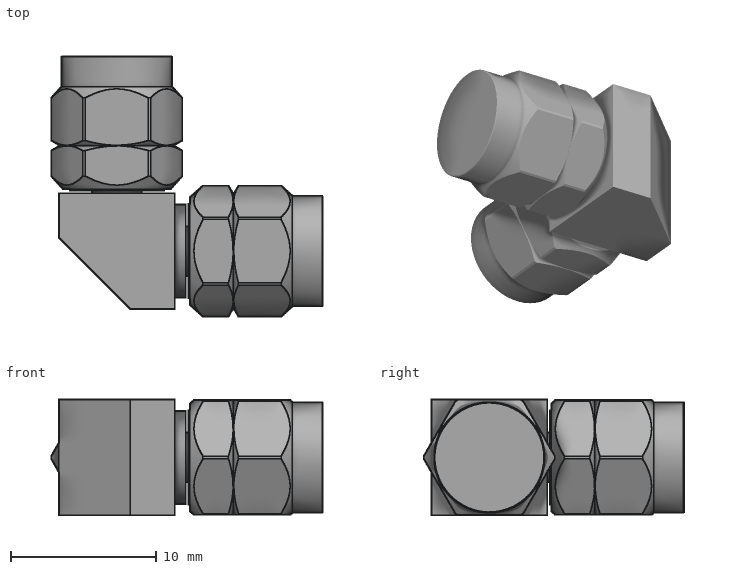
import cadquery as cq
import math

block_side = 8.0
block_corner_cut = 4.92
block_face = block_side / 2

collar_diameter = 6.44
collar_length = 0.77

neck_diameter = 3.45
neck_length = 0.15
flange_diameter = 6.51
flange_length = 0.13
nut_across_flats = 7.92
nut_across_corners = 9.05
nut_length = 7.05
sleeve_diameter = 7.64
sleeve_length = 2.1
sleeve_chamfer = 0.05

nut_back_diameter = 7.43
chamfer_angle = 48
groove_position = 3.0
groove_half_angle = 30
groove_root_diameter = 7.85


def disc(start, diameter, length):
    """Cylinder along Z beginning at the given height."""
    return cq.Workplane("XY").workplane(offset=start).circle(diameter / 2).extrude(length)


def hexagon(across_flats, length, turn):
    """Hexagonal bar along Z, turned about its axis by an angle in degrees."""
    across_points = across_flats / math.cos(math.pi / 6)
    bar = cq.Workplane("XY").polygon(6, across_points).extrude(length)
    return bar.rotate((0, 0, 0), (0, 0, 1), turn)


def make_nut():
    """Nut along Z with flat-cut corners, conical ends and a V groove around it."""
    flats = hexagon(nut_across_flats, nut_length, 0)
    corner_cuts = hexagon(nut_across_corners, nut_length, 30)

    outer_radius = nut_across_flats / math.sqrt(3)
    back_radius = nut_back_diameter / 2
    front_radius = sleeve_diameter / 2
    root_radius = groove_root_diameter / 2
    chamfer_slope = math.tan(math.radians(chamfer_angle))
    back_chamfer = (outer_radius - back_radius) * chamfer_slope
    front_chamfer = (outer_radius - front_radius) * chamfer_slope
    groove_half_width = (outer_radius - root_radius) * math.tan(math.radians(groove_half_angle))

    turned = (
        cq.Workplane("XZ")
        .moveTo(0, 0)
        .lineTo(back_radius, 0)
        .lineTo(outer_radius, back_chamfer)
        .lineTo(outer_radius, groove_position - groove_half_width)
        .lineTo(root_radius, groove_position)
        .lineTo(outer_radius, groove_position + groove_half_width)
        .lineTo(outer_radius, nut_length - front_chamfer)
        .lineTo(front_radius, nut_length)
        .lineTo(0, nut_length)
        .close()
        .revolve(360, (0, 0), (0, 1))
    )
    return flats.intersect(corner_cuts).intersect(turned)


def make_connector():
    """Complete connector along Z with its seat at the origin."""
    nut_start = neck_length + flange_length
    sleeve_start = nut_start + nut_length
    neck = disc(0, neck_diameter, neck_length)
    flange = disc(neck_length, flange_diameter, flange_length)
    nut = make_nut().translate((0, 0, nut_start))
    sleeve = disc(sleeve_start, sleeve_diameter, sleeve_length)
    sleeve = sleeve.faces(">Z").chamfer(sleeve_chamfer)
    return neck.union(flange).union(nut).union(sleeve)


def make_block():
    """Elbow block with its (-X, -Y) corner cut at 45 degrees."""
    cube = cq.Workplane("XY").box(block_side, block_side, block_side)
    return cube.edges("|Z and <X and <Y").chamfer(block_corner_cut)


connector = make_connector()

connector_y = connector.rotate((0, 0, 0), (1, 0, 0), -90).translate((0, block_face, 0))

collar = disc(block_face, collar_diameter, collar_length).rotate((0, 0, 0), (0, 1, 0), 90)
connector_x = (
    connector.rotate((0, 0, 0), (0, 0, 1), 90)
    .rotate((0, 0, 0), (0, 1, 0), 90)
    .translate((block_face + collar_length, 0, 0))
)

result = make_block().union(collar).union(connector_x).union(connector_y)